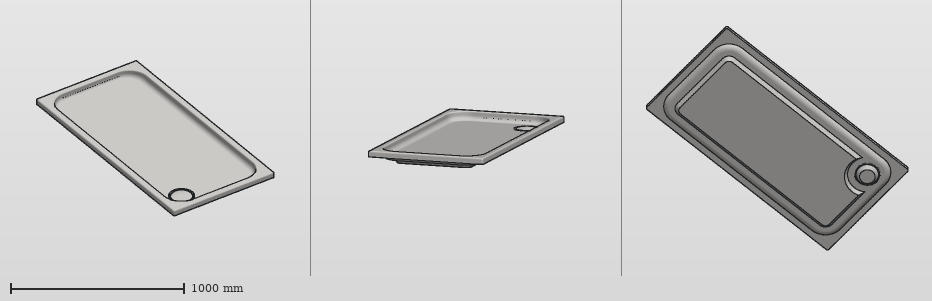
import cadquery as cq
import math

OUTER_X = 1406.0
OUTER_Y = 707.0
TOTAL_HEIGHT = 86.0

TURN_DEGREES = 0.08
TURN_COS = math.cos(math.radians(TURN_DEGREES))
TURN_SIN = math.sin(math.radians(TURN_DEGREES))
LENGTH = (OUTER_X * TURN_COS - OUTER_Y * TURN_SIN) / (TURN_COS**2 - TURN_SIN**2)
WIDTH = (OUTER_Y * TURN_COS - OUTER_X * TURN_SIN) / (TURN_COS**2 - TURN_SIN**2)

RIM_HEIGHT = 35.0
RIM_EDGE_RADIUS = 10.0

BASIN_INSET = 45.0
BASIN_DEPTH = 53.0
BASIN_CORNER_RADIUS = 118.0
BASIN_FLOOR_RADIUS = 30.0
BASIN_LIP_RADIUS = 8.0

SHELL_INSET = 38.0
SHELL_CORNER_RADIUS = 118.0
SHELL_EDGE_RADIUS = 37.0
FLOOR_THICKNESS = 7.0
SHELL_BOTTOM_Z = -(BASIN_DEPTH + FLOOR_THICKNESS)

BASE_TOP_INSET = 105.0
BASE_TAPER = 21.0
BASE_BOTTOM_INSET = BASE_TOP_INSET + BASE_TAPER
BASE_HEIGHT = TOTAL_HEIGHT + SHELL_BOTTOM_Z

DRAIN_X = 533.0
DRAIN_Y = -183.0
RECESS_TOP_DIAMETER = 150.0
RECESS_DEPTH = 5.0
COVER_DIAMETER = 130.0
COVER_DOME_HEIGHT = 11.0
SUMP_TOP_DIAMETER = 140.0
SUMP_BOTTOM_DIAMETER = 90.0
CLEARANCE_TOP_DIAMETER = 228.0
CLEARANCE_BOTTOM_DIAMETER = 264.0


def rounded_rectangle(inset, corner_radius):
    """Sketch of the tray outline, moved inwards and given rounded corners."""
    sketch = cq.Sketch().rect(LENGTH - 2 * inset, WIDTH - 2 * inset)
    return sketch.vertices().fillet(corner_radius).reset()


def bowl(inset, corner_radius, bottom_z, top_z, bottom_edge_radius):
    """Rounded block between two heights with a rounded bottom edge."""
    return (
        cq.Workplane("XY", origin=(0, 0, bottom_z))
        .placeSketch(rounded_rectangle(inset, corner_radius))
        .extrude(top_z - bottom_z)
        .faces("<Z")
        .edges()
        .fillet(bottom_edge_radius)
    )


def drain_cone(top_diameter, bottom_diameter, top_z, bottom_z):
    """Frustum on the drain axis."""
    bottom_centre = cq.Vector(DRAIN_X, DRAIN_Y, bottom_z)
    cone = cq.Solid.makeCone(bottom_diameter / 2, top_diameter / 2, top_z - bottom_z, bottom_centre)
    return cq.Workplane(cone)


def make_rim():
    return (
        cq.Workplane("XY", origin=(0, 0, -RIM_HEIGHT))
        .rect(LENGTH, WIDTH)
        .extrude(RIM_HEIGHT)
        .edges("|Z or >Z")
        .fillet(RIM_EDGE_RADIUS)
    )


def make_shell():
    """Bowl around the basin, reaching up into the rim."""
    shell_top_z = -RIM_EDGE_RADIUS
    return bowl(SHELL_INSET, SHELL_CORNER_RADIUS, SHELL_BOTTOM_Z, shell_top_z, SHELL_EDGE_RADIUS)


def make_base():
    """Tapered base, cut away around the drain so that the sump stands alone."""
    corner_centre_inset = SHELL_INSET + SHELL_CORNER_RADIUS
    top = rounded_rectangle(BASE_TOP_INSET, corner_centre_inset - BASE_TOP_INSET)
    bottom = rounded_rectangle(BASE_BOTTOM_INSET, corner_centre_inset - BASE_BOTTOM_INSET)
    base = (
        cq.Workplane("XY", origin=(0, 0, SHELL_BOTTOM_Z))
        .placeSketch(top, bottom.moved(cq.Location(cq.Vector(0, 0, -BASE_HEIGHT))))
        .loft()
    )
    clearance = drain_cone(
        CLEARANCE_TOP_DIAMETER, CLEARANCE_BOTTOM_DIAMETER, SHELL_BOTTOM_Z, -TOTAL_HEIGHT
    )
    sump = drain_cone(SUMP_TOP_DIAMETER, SUMP_BOTTOM_DIAMETER, SHELL_BOTTOM_Z, -TOTAL_HEIGHT)
    return base.cut(clearance).union(sump)


def round_basin_lip(body):
    """Round the edge where the basin wall meets the rim's top face."""
    half_x = (LENGTH - BASIN_INSET) / 2
    half_y = (WIDTH - BASIN_INSET) / 2
    half_z = RIM_EDGE_RADIUS / 2
    lip = cq.selectors.BoxSelector((-half_x, -half_y, -half_z), (half_x, half_y, half_z))
    return body.edges(lip).fillet(BASIN_LIP_RADIUS)


def make_tray():
    body = make_rim().union(make_shell()).union(make_base())
    basin = bowl(BASIN_INSET, BASIN_CORNER_RADIUS, -BASIN_DEPTH, 0, BASIN_FLOOR_RADIUS)
    recess = drain_cone(
        RECESS_TOP_DIAMETER, COVER_DIAMETER, -BASIN_DEPTH, -BASIN_DEPTH - RECESS_DEPTH
    )
    return round_basin_lip(body.cut(basin)).cut(recess)


def make_drain_cover():
    """Round disc resting on the recess floor, its edge flush with the basin floor, its top domed."""
    radius = COVER_DIAMETER / 2
    sphere_radius = (radius**2 + COVER_DOME_HEIGHT**2) / (2 * COVER_DOME_HEIGHT)
    apex_z = RECESS_DEPTH + COVER_DOME_HEIGHT
    arc_x = radius / 2
    arc_z = apex_z - sphere_radius + math.sqrt(sphere_radius**2 - arc_x**2)
    return (
        cq.Workplane("XZ", origin=(DRAIN_X, DRAIN_Y, -BASIN_DEPTH - RECESS_DEPTH))
        .lineTo(radius, 0)
        .lineTo(radius, RECESS_DEPTH)
        .threePointArc((arc_x, arc_z), (0, apex_z))
        .close()
        .revolve(360, (0, 0, 0), (0, 1, 0))
    )


def turned(body):
    return body.rotate((0, 0, 0), (0, 0, 1), TURN_DEGREES)


tray = turned(make_tray())
drain_cover = turned(make_drain_cover())
result = cq.Compound.makeCompound([tray.val(), drain_cover.val()])